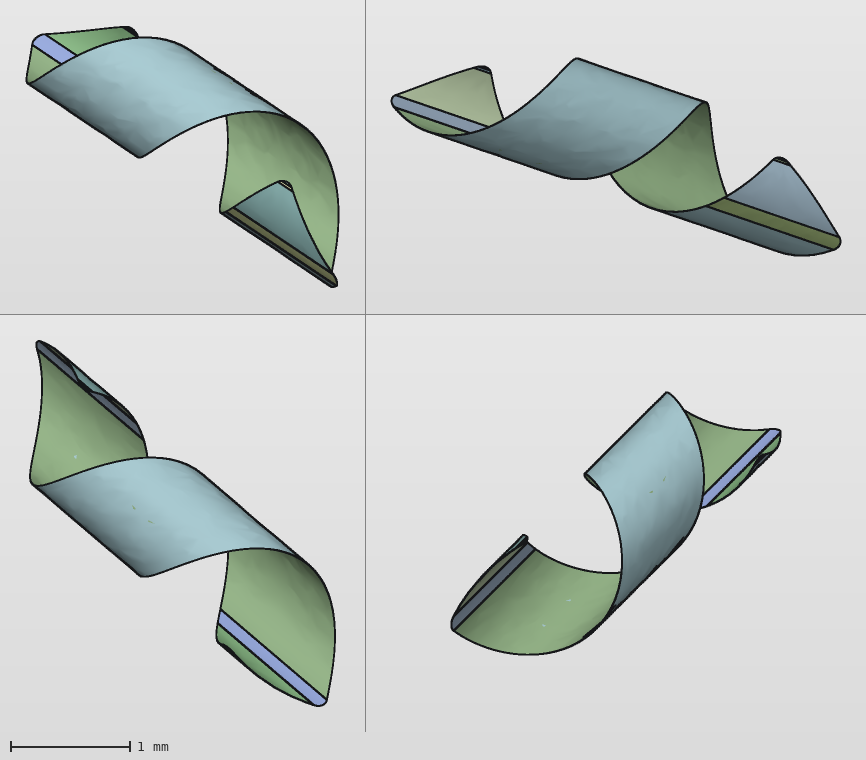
import cadquery as cq
import math

outer_diameter = 0.99
wall = 0.005
strip_length = 5.64
strip_width = 1.025
corner_radius = 0.1
pitch = 2.195
middle_angle = 122.8
point_spacing = 0.06
fewest_spans = 8

outer_radius = outer_diameter / 2
inner_radius = outer_radius - wall
helix_angle = math.atan2(pitch, 2 * math.pi * outer_radius)
around_part = math.cos(helix_angle)
axial_part = math.sin(helix_angle)

half_length = strip_length / 2 - corner_radius
half_width = strip_width / 2 - corner_radius


def unrolled(along, across):
    """Turn strip coordinates into (s, x)."""
    s = along * around_part - across * axial_part
    x = along * axial_part + across * around_part
    return s, x


start_corner = unrolled(-half_length, half_width)
low_corner = unrolled(-half_length, -half_width)
end_corner = unrolled(half_length, -half_width)

first_s = start_corner[0] - corner_radius
start_arc_end = start_corner[0] - corner_radius * around_part
low_arc_start = low_corner[0] - corner_radius * around_part
low_arc_end = low_corner[0] + corner_radius * axial_part
end_arc_start = end_corner[0] + corner_radius * axial_part


def arc_low(corner, s):
    offset = s - corner[0]
    return corner[1] - math.sqrt(max(0, corner_radius**2 - offset**2))


def low_x(s):
    """Lower boundary: start corner, end cut, low corner, long edge, end corner."""
    if s < start_arc_end:
        return arc_low(start_corner, s)
    if s < low_arc_start:
        cut_slope = -around_part / axial_part
        return arc_low(start_corner, start_arc_end) + cut_slope * (s - start_arc_end)
    if s < low_arc_end:
        return arc_low(low_corner, s)
    if s < end_arc_start:
        edge_slope = axial_part / around_part
        return arc_low(low_corner, low_arc_end) + edge_slope * (s - low_arc_end)
    return arc_low(end_corner, s)


def high_x(s):
    """The strip is unchanged by a half turn in its own plane."""
    return -low_x(-s)


def wrapped(radius, s, x):
    angle = math.radians(middle_angle) + s / outer_radius
    return cq.Vector(x, -radius * math.cos(angle), radius * math.sin(angle))


def boundary_edge(boundary, radius, s_from, s_to):
    spans = max(fewest_spans, math.ceil((s_to - s_from) / point_spacing))
    turns = [math.pi * i / spans for i in range(spans + 1)]
    stations = [s_from + (s_to - s_from) * (1 - math.cos(turn)) / 2 for turn in turns]
    points = [wrapped(radius, s, boundary(s)) for s in stations]
    return cq.Edge.makeSpline(points, parameters=turns)


def sector_faces(s_from, s_to):
    """Outer, inner and both side faces of the strip between two places around the cylinder."""
    low_outer = boundary_edge(low_x, outer_radius, s_from, s_to)
    high_outer = boundary_edge(high_x, outer_radius, s_from, s_to)
    low_inner = boundary_edge(low_x, inner_radius, s_from, s_to)
    high_inner = boundary_edge(high_x, inner_radius, s_from, s_to)
    pairs = [
        (low_outer, high_outer),
        (low_inner, high_inner),
        (low_outer, low_inner),
        (high_outer, high_inner),
    ]
    return [cq.Face.makeRuledSurface(one, other) for one, other in pairs]


low_breaks = [first_s, start_arc_end, low_arc_start, low_arc_end, end_arc_start]
breaks = sorted(low_breaks + [-s for s in low_breaks])
faces = []
for s_from, s_to in zip(breaks, breaks[1:]):
    faces += sector_faces(s_from, s_to)

strip = cq.Solid.makeSolid(cq.Shell.makeShell(faces))
result = cq.Workplane("XY").newObject([strip.fix()])